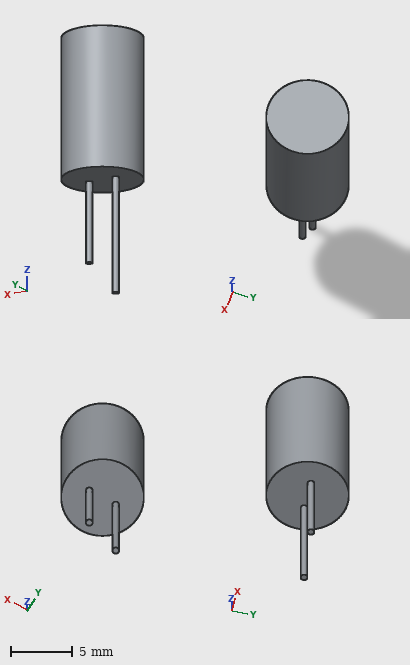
import cadquery as cq

total_height = 22.2
can_diameter = 6.8

lead_diameter = 0.55
lead_pitch = 2.5
long_lead_length = 10.0
short_lead_length = 7.0

can_height = total_height - long_lead_length


def make_can():
    """Plain cylindrical can standing on the XY plane."""
    return cq.Workplane("XY").circle(can_diameter / 2).extrude(can_height)


def make_lead(x, length):
    """Round wire lead hanging straight down from the can's underside."""
    return cq.Workplane("XY").center(x, 0).circle(lead_diameter / 2).extrude(-length)


can = make_can()

lead_layout = [
    (-lead_pitch / 2, long_lead_length),
    (lead_pitch / 2, short_lead_length),
]
leads = [make_lead(x, length) for x, length in lead_layout]

result = cq.Compound.makeCompound([can.val(), *[lead.val() for lead in leads]])